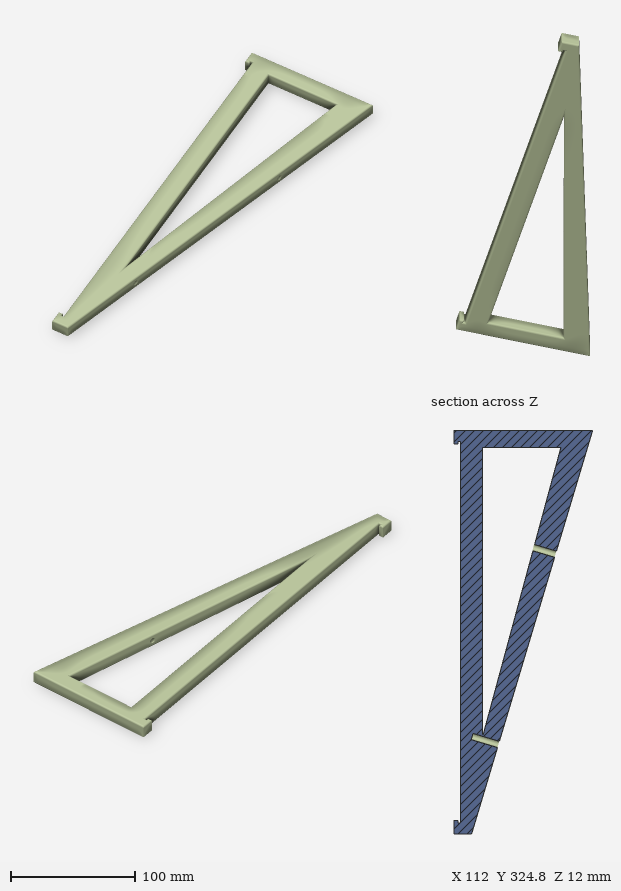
import cadquery as cq

length = 324.8
top_width = 112.0
foot_width = 14.5
thickness = 12.0
edge_fillet = 1.5

hook_length = 11.0
hook_wall = 9.0
lip_width = 4.0
rail_x = 5.5

window_left = 23.5
window_right = 86.0
window_bottom = 79.3
window_top = length - 14.0

hole_diameter = 5.0
hole_depth = 22.0
hole_clearance = 3.2
hole_entry_heights = (72.0, 225.0)

strut_slope = (top_width - foot_width) / length


def plate(points):
    """Flat plate of full thickness with the given outline."""
    return cq.Workplane("XY").polyline(points).close().extrude(thickness)


def bracket_outline():
    """Outer outline: a hook, the rail, the mirrored hook and the sloping strut."""
    lower_hook = [
        (0, 0),
        (0, hook_length),
        (lip_width, hook_length),
        (lip_width, hook_wall),
        (rail_x, hook_wall),
    ]
    upper_hook = [(x, length - y) for x, y in reversed(lower_hook)]
    strut = [(top_width, length), (foot_width, 0)]
    return lower_hook + upper_hook + strut


def window_outline():
    return [
        (window_left, window_bottom),
        (window_left, window_top),
        (window_right, window_top),
    ]


def strut_hole(entry_y):
    """Cylinder that enters the outer face of the strut at the given Y."""
    entry = cq.Vector(foot_width + strut_slope * entry_y, entry_y, thickness / 2)
    inward = cq.Vector(-1, strut_slope, 0).normalized()
    start = entry - inward * hole_clearance
    return cq.Solid.makeCylinder(hole_diameter / 2, hole_depth + hole_clearance, start, inward)


frame = plate(bracket_outline()).cut(plate(window_outline()))

result = frame.faces("<Z or >Z").fillet(edge_fillet)

for entry_y in hole_entry_heights:
    result = result.cut(cq.Workplane(strut_hole(entry_y)))